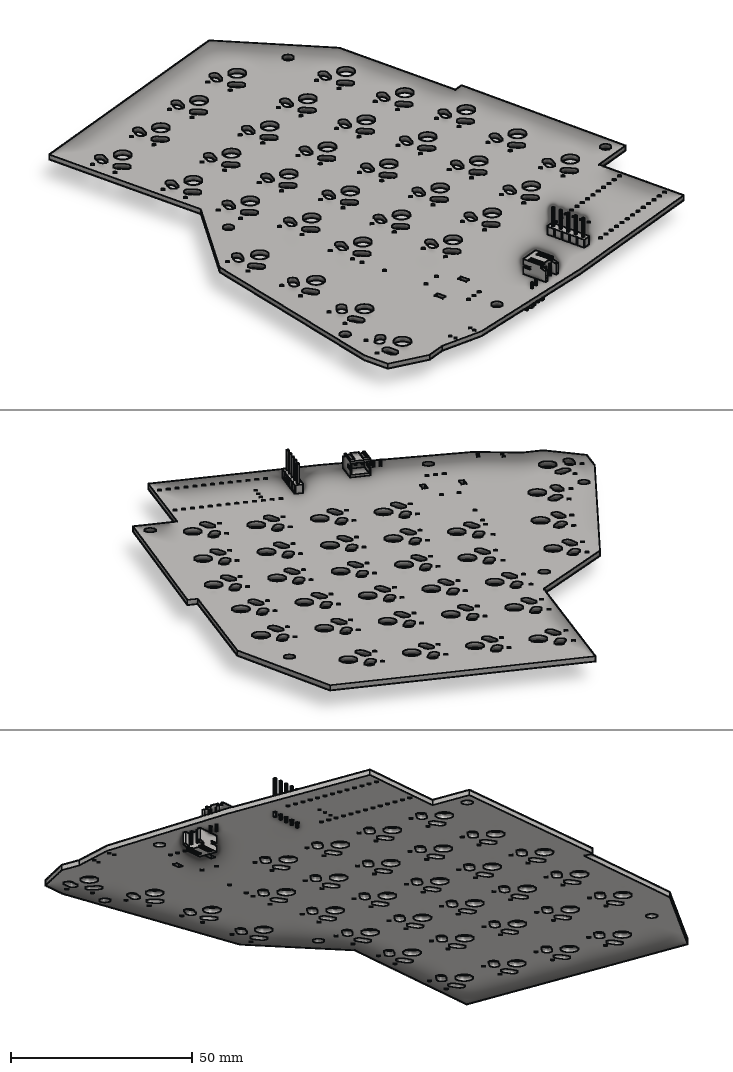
import cadquery as cq
import math


BOARD_THICKNESS = 1.6
BOARD_HALF_LENGTH = 155.5 / 2
BOARD_HALF_WIDTH = 135.25 / 2
LEFT_SHOULDER_Y = 64.7
LEFT_BOTTOM_Y = -29.0
TAB_LEFT_X = -6.9
TAB_RIGHT_X = 49.0
CONTROLLER_EDGE_Y = 54.4
LOWER_RIGHT_X = 70.9

BOARD_OUTLINE = [
    (-BOARD_HALF_LENGTH, 47.2),
    (-46.2, LEFT_SHOULDER_Y),
    (TAB_LEFT_X, LEFT_SHOULDER_Y),
    (TAB_LEFT_X, BOARD_HALF_WIDTH),
    (TAB_RIGHT_X, 67.1),
    (TAB_RIGHT_X, CONTROLLER_EDGE_Y),
    (BOARD_HALF_LENGTH, CONTROLLER_EDGE_Y),
    (BOARD_HALF_LENGTH, 5.3),
    (75.13, -38.2),
    (LOWER_RIGHT_X, -51.0),
    (LOWER_RIGHT_X, -57.0),
    (64.3, -BOARD_HALF_WIDTH),
    (56.3, -BOARD_HALF_WIDTH),
    (-3.9, -51.7),
    (-26.4, LEFT_BOTTOM_Y),
    (-BOARD_HALF_LENGTH, LEFT_BOTTOM_Y),
]

KEY_PITCH = 18.17
STEM_HOLE_DIAMETER = 5.0
CONTACT_SLOT_WIDTH = 2.8
CONTACT_SLOT_OUTER = (4.4, -4.7)
CONTACT_SLOT_INNER = (2.6, -5.75)
DIODE_HOLE_DIAMETER = 1.0
DIODE_SPAN = 7.62
DIODE_OFFSET = -8.65
NO_SHIFT = (0.0, 0.0)

KEY_COLUMNS = [
    (-61.1, -17.4, 4, 0.0, (0.0, -0.35)),
    (-37.2, -17.4, 5, 0.0, (-0.2, -0.2)),
    (-17.95, -17.4, 5, -0.5, (-0.4, -0.55)),
    (1.2, -15.1, 5, -0.5, (-0.6, -0.3)),
    (20.3, -17.6, 5, -0.5, (-0.7, -0.45)),
    (39.85, -2.2, 4, -1.0, NO_SHIFT),
]

THUMB_KEYS = [
    (1.2, -39.7, -7.0, (-0.3, -0.1)),
    (21.85, -42.05, -12.0, (-0.55, -0.1)),
    (41.7, -46.9, -20.0, (-0.4, -0.25)),
    (60.5, -55.3, -31.0, (-0.8, 0.1)),
]

MOUNTING_HOLE_DIAMETER = 3.2
MOUNTING_HOLES = [(-54.6, 52.2), (44.9, 63.3), (70.1, -23.85), (-14.5, -32.6), (45.4, -61.3)]

LEAD_HOLE_DIAMETER = 1.0
SMALL_LEAD_HOLE_DIAMETER = 0.8
LEAD_PITCH = 2.54

CONTROLLER_CENTER = (64.8, 37.45)
CONTROLLER_PINS_PER_ROW = 13
CONTROLLER_ROW_SPACING = 15.24
EXTRA_LEADS = 3
EXTRA_LEADS_ROW = 2

ENCODER_CENTER = (54.65, -23.6)
ENCODER_SIGNAL_OFFSET = 7.5
ENCODER_SWITCH_OFFSET = -7.0
ENCODER_PIN_PITCH = 2.5
ENCODER_TAB_OFFSET = 5.6
ENCODER_TAB_SLOT = (2.8, 1.5)

LOOSE_DIODE_CENTER = (30.3, -26.75)
BUTTON_HOLES = [(71.5, -38.5), (73.2, -38.9), (69.6, -45.3), (71.4, -45.4)]

HEADER_CENTER = (65.6, 16.4)
HEADER_PINS = 5
HEADER_BODY_HEIGHT = LEAD_PITCH
HEADER_NOTCH = LEAD_PITCH / 10
HEADER_PIN_WIDTH = 0.64
HEADER_PIN_TIP_CHAMFER = HEADER_PIN_WIDTH / 4
HEADER_PIN_ABOVE = 8.54
HEADER_PIN_BELOW = 3.0

PLUG_PIN_X = 72.7
TOP_PLUG_Y = -3.28
BOTTOM_PLUG_Y = -9.85
BOTTOM_PLUG_STANDOFF = 0.15
PLUG_PIN_PITCH = 2.0
PLUG_PIN_WIDTH = 0.5
PLUG_PIN_HOLE_DIAMETER = 0.75
PLUG_PIN_BELOW = 3.4
PLUG_WIDTH = 5.9
PLUG_HEIGHT = 4.8
PLUG_LENGTH = 7.6
PLUG_BACK = 1.35
PLUG_FRONT = PLUG_BACK - PLUG_LENGTH
PLUG_BODY_BACK = -0.25

EAR_WIDTH = 0.9
EAR_FRONT_HEIGHT = 3.9
EAR_BACK_HEIGHT = 3.4

CAVITY_SIDE_WALL = 0.5
CAVITY_FLOOR = 0.75
CAVITY_TOP = 4.1
CAVITY_DEPTH = 4.5
SIDE_SLOT_LENGTH = 2.3
SIDE_SLOT_BOTTOM = 2.2
SIDE_SLOT_TOP = 3.0
TOP_GROOVE_START = 1.5
TOP_GROOVE_DEPTH = 0.4
TOP_GROOVE_INNER_Y = 1.2
TOP_GROOVE_OUTER_Y = PLUG_WIDTH / 2 - CAVITY_SIDE_WALL
CONTACT_HEIGHT = 3.25
CONTACT_SETBACK = 1.1


def drill_cores(points, diameter):
    """Cylinders through the board thickness at the given points."""
    return cq.Workplane("XY").pushPoints(points).circle(diameter / 2).extrude(BOARD_THICKNESS)


def block(x_range, y_range, z_range):
    """Box spanning the given (low, high) ranges."""
    (x0, x1), (y0, y1), (z0, z1) = x_range, y_range, z_range
    box = cq.Workplane("XY").box(x1 - x0, y1 - y0, z1 - z0, centered=False)
    return box.translate((x0, y0, z0))


def around(center, width):
    """(low, high) range of the given width about a centre."""
    return (center - width / 2, center + width / 2)


def placed(point, center, tilt):
    """Point given relative to a key centre, tilted with the key and moved to it."""
    cosine = math.cos(math.radians(tilt))
    sine = math.sin(math.radians(tilt))
    x, y = point
    return (center[0] + x * cosine - y * sine, center[1] + x * sine + y * cosine)


def row_of_points(center, count, pitch):
    """Evenly spaced points along x about a centre."""
    x, y = center
    return [(x + (i - (count - 1) / 2) * pitch, y) for i in range(count)]


def all_keys():
    """Every key as (x, y, tilt, diode shift)."""
    keys = []
    for x, y, count, tilt, lowest_shift in KEY_COLUMNS:
        for row in range(count):
            key_x, key_y = placed((0, row * KEY_PITCH), (x, y), tilt)
            shift = lowest_shift if row == 0 else NO_SHIFT
            keys.append((key_x, key_y, tilt, shift))
    return keys + THUMB_KEYS


def contact_slots(keys):
    """Two slanted slots below every stem hole, mirrored about the key axis."""
    outer_x, outer_y = CONTACT_SLOT_OUTER
    inner_x, inner_y = CONTACT_SLOT_INNER
    run = outer_x - inner_x
    rise = outer_y - inner_y
    length = math.hypot(run, rise) + CONTACT_SLOT_WIDTH
    slant = math.degrees(math.atan2(rise, run))
    middle = ((outer_x + inner_x) / 2, (outer_y + inner_y) / 2)
    slots = cq.Workplane("XY")
    for x, y, tilt, _ in keys:
        for side in (-1, 1):
            center = placed((side * middle[0], middle[1]), (x, y), tilt)
            slot = (
                cq.Workplane("XY")
                .center(*center)
                .slot2D(length, CONTACT_SLOT_WIDTH, side * slant + tilt)
                .extrude(BOARD_THICKNESS)
            )
            slots = slots.add(slot)
    return slots.combine(clean=False)


def diode_points(keys):
    """Lead holes of the diode below every key, and of one loose diode."""
    points = row_of_points(LOOSE_DIODE_CENTER, 2, DIODE_SPAN)
    for x, y, tilt, (shift_x, shift_y) in keys:
        for lead in row_of_points((0, DIODE_OFFSET), 2, DIODE_SPAN):
            points.append(placed(lead, (x + shift_x, y + shift_y), tilt))
    return points


def controller_points():
    """Two rows of controller leads, and the short row of extra leads beside them."""
    x, y = CONTROLLER_CENTER
    left = x - CONTROLLER_ROW_SPACING / 2
    right = x + CONTROLLER_ROW_SPACING / 2
    bottom = y - (CONTROLLER_PINS_PER_ROW - 1) / 2 * LEAD_PITCH
    leads = []
    for i in range(CONTROLLER_PINS_PER_ROW):
        leads += [(left, bottom + i * LEAD_PITCH), (right, bottom + i * LEAD_PITCH)]
    extra_y = bottom + EXTRA_LEADS_ROW * LEAD_PITCH
    extra = [(left + (i + 1) * LEAD_PITCH, extra_y) for i in range(EXTRA_LEADS)]
    return leads, extra


def encoder_points():
    """Three signal leads on the right and two switch leads on the left."""
    x, y = ENCODER_CENTER
    signal = [(x + ENCODER_SIGNAL_OFFSET, y + i * ENCODER_PIN_PITCH) for i in (-1, 0, 1)]
    switch = [(x + ENCODER_SWITCH_OFFSET, y + i * ENCODER_PIN_PITCH) for i in (-1, 1)]
    return signal + switch


def encoder_tabs():
    x, y = ENCODER_CENTER
    return (
        cq.Workplane("XY")
        .pushPoints([(x, y - ENCODER_TAB_OFFSET), (x, y + ENCODER_TAB_OFFSET)])
        .rect(*ENCODER_TAB_SLOT)
        .extrude(BOARD_THICKNESS)
    )


def header_points():
    return row_of_points(HEADER_CENTER, HEADER_PINS, LEAD_PITCH)


def plug_points():
    points = []
    for y in (TOP_PLUG_Y, BOTTOM_PLUG_Y):
        points += [(PLUG_PIN_X, pin_y) for pin_y in around(y, PLUG_PIN_PITCH)]
    return points


def make_board():
    keys = all_keys()
    controller, extra = controller_points()
    leads = controller + header_points() + encoder_points()
    board = cq.Workplane("XY").polyline(BOARD_OUTLINE).close().extrude(BOARD_THICKNESS)
    board = board.cut(contact_slots(keys))
    board = board.cut(encoder_tabs())
    drillings = [
        ([(x, y) for x, y, _, _ in keys], STEM_HOLE_DIAMETER),
        (diode_points(keys), DIODE_HOLE_DIAMETER),
        (MOUNTING_HOLES, MOUNTING_HOLE_DIAMETER),
        (leads, LEAD_HOLE_DIAMETER),
        (extra + BUTTON_HOLES, SMALL_LEAD_HOLE_DIAMETER),
        (plug_points(), PLUG_PIN_HOLE_DIAMETER),
    ]
    for points, diameter in drillings:
        board = board.cut(drill_cores(points, diameter))
    return board


def make_header():
    """Notched header strip standing on the board, with its pins passing through."""
    strip = (
        cq.Workplane("XY", origin=(0, 0, BOARD_THICKNESS))
        .pushPoints(header_points())
        .rect(LEAD_PITCH, LEAD_PITCH)
        .extrude(HEADER_BODY_HEIGHT, combine=False)
        .edges("|Z")
        .chamfer(HEADER_NOTCH)
        .combine()
    )
    pins = (
        cq.Workplane("XY", origin=(0, 0, BOARD_THICKNESS - HEADER_PIN_BELOW))
        .pushPoints(header_points())
        .rect(HEADER_PIN_WIDTH, HEADER_PIN_WIDTH)
        .extrude(HEADER_PIN_BELOW + HEADER_PIN_ABOVE)
        .faces("<Z or >Z")
        .chamfer(HEADER_PIN_TIP_CHAMFER)
    )
    return strip.union(pins)


def plug_housing():
    """Housing open towards -X, with two sloped ears behind its back wall."""
    side_profile = [
        (PLUG_FRONT, 0),
        (PLUG_BACK, 0),
        (PLUG_BACK, EAR_BACK_HEIGHT),
        (PLUG_BODY_BACK, EAR_FRONT_HEIGHT),
        (PLUG_BODY_BACK, PLUG_HEIGHT),
        (PLUG_FRONT, PLUG_HEIGHT),
    ]
    housing = (
        cq.Workplane("XZ", origin=(0, PLUG_WIDTH / 2, 0))
        .polyline(side_profile)
        .close()
        .extrude(PLUG_WIDTH)
    )
    between_ears = block(
        (PLUG_BODY_BACK, PLUG_BACK),
        around(0, PLUG_WIDTH - 2 * EAR_WIDTH),
        (0, PLUG_HEIGHT),
    )
    cavity = block(
        (PLUG_FRONT, PLUG_FRONT + CAVITY_DEPTH),
        around(0, PLUG_WIDTH - 2 * CAVITY_SIDE_WALL),
        (CAVITY_FLOOR, CAVITY_TOP),
    )
    side_slots = block(
        (PLUG_FRONT, PLUG_FRONT + SIDE_SLOT_LENGTH),
        around(0, PLUG_WIDTH),
        (SIDE_SLOT_BOTTOM, SIDE_SLOT_TOP),
    )
    housing = housing.cut(between_ears).cut(cavity).cut(side_slots)
    for y_range in (
        (-TOP_GROOVE_OUTER_Y, -TOP_GROOVE_INNER_Y),
        (TOP_GROOVE_INNER_Y, TOP_GROOVE_OUTER_Y),
    ):
        groove = block(
            (PLUG_FRONT + TOP_GROOVE_START, PLUG_BODY_BACK),
            y_range,
            (PLUG_HEIGHT - TOP_GROOVE_DEPTH, PLUG_HEIGHT),
        )
        housing = housing.cut(groove)
    return housing


def plug_contact(y):
    """Blade running back through the housing and bent down into a leg."""
    half = PLUG_PIN_WIDTH / 2
    y_range = around(y, PLUG_PIN_WIDTH)
    blade = block(
        (PLUG_FRONT + CONTACT_SETBACK, half),
        y_range,
        around(CONTACT_HEIGHT, PLUG_PIN_WIDTH),
    )
    leg = block((-half, half), y_range, (-PLUG_PIN_BELOW, CONTACT_HEIGHT + half))
    return blade.union(leg)


def make_plug():
    """Plug standing on z = 0 with its contact legs at x = 0."""
    plug = plug_housing()
    for y in around(0, PLUG_PIN_PITCH):
        plug = plug.union(plug_contact(y))
    return plug


board = make_board()
header = make_header()
top_plug = make_plug().translate((PLUG_PIN_X, TOP_PLUG_Y, BOARD_THICKNESS))
bottom_plug = (
    make_plug().mirror("XY").translate((PLUG_PIN_X, BOTTOM_PLUG_Y, -BOTTOM_PLUG_STANDOFF))
)

result = cq.Compound.makeCompound([board.val(), header.val(), top_plug.val(), bottom_plug.val()])